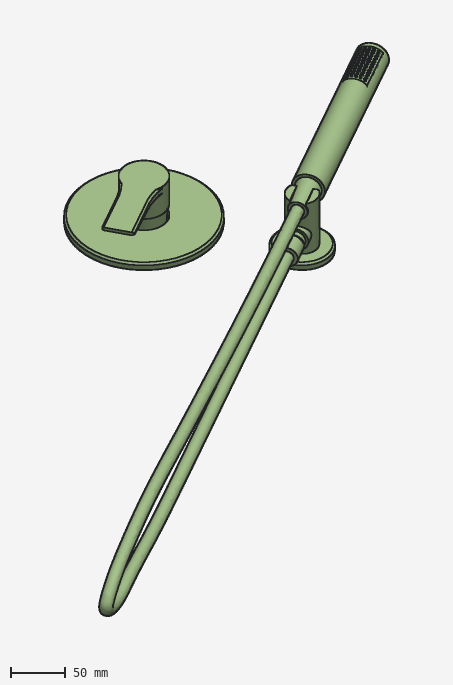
import cadquery as cq
import math


plate_thickness = 8.0
plate_chamfer = 2.15
valve_plate_diameter = 146.0
rosette_diameter = 60.0
holder_x = 150.5

sleeve_diameter = 42.0
sleeve_bottom = -31.0
plate_hole_diameter = 46.0

head_diameter = 46.0
head_radius = head_diameter / 2
lever_top = 52.5
head_bottom_front = 21.0
head_bottom_back = 28.0
head_ramp_start_y = 2.0
arm_tip_y = -84.0
arm_width = 31.0
arm_straight_start_y = -34.0
arm_flare_angle = 20.0
arm_flare_middle = (17.6, -20.0)
arm_root_thickness = 8.0
arm_tip_thickness = 3.5
arm_edge_chamfer = 2.15
arm_corner_radius = 3.5
screw_z = 33.0
screw_recess_diameter = 10.0
screw_recess_depth = 3.0
screw_hole_diameter = 6.2
screw_hole_depth = 9.0

post_diameter = 32.0
post_radius = post_diameter / 2
post_top = 65.0
stub_diameter = 21.0
stub_bottom = -10.0
outlet_z = 27.5
outlet_collar_diameter = 24.0
outlet_collar_end_y = -21.0
outlet_neck_diameter = 19.0
nut_start_y = -27.5
cradle_slot_width = 15.5
cradle_back_y = 9.5

handle_axis_z = 56.3
handle_diameter = 32.0
handle_radius = handle_diameter / 2
handle_end_y = 225.0
handle_start_y = 20.0
cone_end_y = -15.0
cone_large_diameter = 26.0
cone_small_diameter = 19.0

face_width = 23.0
face_length = 51.0
face_end_gap = 5.0
face_depth = 7.0
face_middle_y = handle_end_y - face_end_gap - face_length / 2
nozzle_diameter = 2.3
nozzle_height = 2.0
nozzle_columns = 5
nozzle_rows = 11
nozzle_pitch = 4.0

hose_diameter = 13.0
nut_diameter = 21.0
nut_end_y = -48.0
overall_length = 860.0
hose_tip_y = handle_end_y - overall_length + hose_diameter / 2
hose_crest_z = 76.9
hose_straight_end_y = -395.5
upper_run = [(-200.0, 60.0), (-301.0, 65.0), (-392.0, 71.0)]
upper_bend = [(-575.0, 72.0), (-612.0, 64.0)]
hose_crest_y = -513.0
hose_tip_z = 52.5
lower_bend = [(-612.0, 40.0), (-560.5, 33.5), (-484.0, 29.0)]


def wall_disc(diameter, hole_diameter):
    """Wall plate with a chamfered front rim and a central hole."""
    disc = cq.Workplane("XY").circle(diameter / 2).extrude(plate_thickness)
    disc = disc.faces(">Z").chamfer(plate_chamfer)
    return disc.cut(cq.Workplane("XY").circle(hole_diameter / 2).extrude(plate_thickness))


def rod(diameter, y_start, y_end, z):
    """Cylinder lying along Y, from y_start down to y_end."""
    return (
        cq.Workplane("XZ", origin=(0, y_start, z))
        .circle(diameter / 2)
        .extrude(y_start - y_end)
    )


def at_holder(body):
    return body.translate((holder_x, 0, 0))


def space_below_head():
    """Block whose top is the joint of lever and sleeve: level in front, rising behind."""
    return (
        cq.Workplane("YZ")
        .polyline([
            (-head_diameter, sleeve_bottom),
            (-head_diameter, head_bottom_front),
            (head_ramp_start_y, head_bottom_front),
            (head_radius, head_bottom_back),
            (head_radius, sleeve_bottom),
        ])
        .close()
        .extrude(head_diameter, both=True)
    )


def make_sleeve():
    sleeve = (
        cq.Workplane("XY", origin=(0, 0, sleeve_bottom))
        .circle(sleeve_diameter / 2)
        .extrude(lever_top - sleeve_bottom)
    )
    return sleeve.intersect(space_below_head())


def arm_plan():
    """Arm outline seen along Z, flaring into the head circle."""
    flare_x = head_radius * math.cos(math.radians(arm_flare_angle))
    flare_y = -head_radius * math.sin(math.radians(arm_flare_angle))
    half_width = arm_width / 2
    middle_x, middle_y = arm_flare_middle
    return (
        cq.Workplane("XY")
        .moveTo(-flare_x, flare_y)
        .threePointArc((-middle_x, middle_y), (-half_width, arm_straight_start_y))
        .lineTo(-half_width, arm_tip_y)
        .lineTo(half_width, arm_tip_y)
        .lineTo(half_width, arm_straight_start_y)
        .threePointArc((middle_x, middle_y), (flare_x, flare_y))
        .close()
        .extrude(lever_top)
    )


def arm_side():
    """Arm thickness seen along X, thinning from the head to the tip."""
    return (
        cq.Workplane("YZ")
        .polyline([
            (0, lever_top),
            (arm_tip_y, lever_top),
            (arm_tip_y, lever_top - arm_tip_thickness),
            (-head_radius, lever_top - arm_root_thickness),
            (0, lever_top - arm_root_thickness),
        ])
        .close()
        .extrude(head_diameter, both=True)
    )


def make_lever():
    arm = arm_plan().intersect(arm_side())
    arm = arm.faces(">Z").edges("|Y").chamfer(arm_edge_chamfer)
    arm = arm.edges("|Z and <Y").fillet(arm_corner_radius)
    head = cq.Workplane("XY").circle(head_radius).extrude(lever_top)
    head = head.cut(space_below_head())
    recess = rod(screw_recess_diameter, -head_radius + screw_recess_depth, -head_diameter, screw_z)
    hole = rod(screw_hole_diameter, -head_radius + screw_hole_depth, -head_diameter, screw_z)
    return head.cut(recess).cut(hole).union(arm)


def make_cone():
    return (
        cq.Workplane("XZ", origin=(0, handle_start_y, handle_axis_z))
        .circle(cone_large_diameter / 2)
        .workplane(offset=handle_start_y - cone_end_y)
        .circle(cone_small_diameter / 2)
        .loft()
    )


def make_post():
    post = (
        cq.Workplane("XY", origin=(0, 0, plate_thickness))
        .circle(post_radius)
        .extrude(post_top - plate_thickness)
    )
    stub = (
        cq.Workplane("XY", origin=(0, 0, stub_bottom))
        .circle(stub_diameter / 2)
        .extrude(plate_thickness - stub_bottom)
    )
    back = (
        cq.Workplane("XY", origin=(0, cradle_back_y, handle_axis_z - handle_radius))
        .rect(post_diameter, post_diameter)
        .extrude(post_top)
        .translate((0, post_radius, 0))
    )
    slot = (
        cq.Workplane("XY", origin=(0, 0, handle_axis_z))
        .rect(cradle_slot_width, 2 * post_diameter)
        .extrude(post_top)
    )
    hose_exit = rod(cone_small_diameter, 0, -post_diameter, handle_axis_z)
    post = post.cut(back).cut(slot).cut(make_cone()).cut(hose_exit)
    collar = rod(outlet_collar_diameter, 0, outlet_collar_end_y, outlet_z)
    neck = rod(outlet_neck_diameter, 0, nut_start_y, outlet_z)
    return post.union(stub).union(collar).union(neck)


def make_handle_rod():
    return rod(handle_diameter, handle_end_y, handle_start_y, handle_axis_z)


def face_block():
    """Rectangular space that the spray face fills."""
    return (
        cq.Workplane("XY", origin=(0, face_middle_y, handle_axis_z + handle_radius - face_depth))
        .rect(face_width, face_length)
        .extrude(2 * face_depth)
    )


def make_spray_face():
    face = make_handle_rod().intersect(face_block())
    for column in range(nozzle_columns):
        x = (column - (nozzle_columns - 1) / 2) * nozzle_pitch
        surface_z = handle_axis_z + math.sqrt(handle_radius**2 - x**2)
        nozzles = (
            cq.Workplane("XY", origin=(x, face_middle_y, surface_z + nozzle_height))
            .rarray(nozzle_pitch, nozzle_pitch, 1, nozzle_rows)
            .circle(nozzle_diameter / 2)
            .extrude(-2 * nozzle_height)
        )
        face = face.union(nozzles)
    return face


def make_hose():
    """Hose hanging in a long loop from the cone back to the outlet nut."""
    loop = [
        (cone_end_y, handle_axis_z),
        *upper_run,
        (hose_crest_y, hose_crest_z),
        *upper_bend,
        (hose_tip_y, hose_tip_z),
        *lower_bend,
        (hose_straight_end_y, outlet_z),
    ]
    path = (
        cq.Workplane("YZ")
        .spline(loop, tangents=[(-1, 0), (1, 0)])
        .lineTo(nut_end_y, outlet_z)
    )
    return (
        cq.Workplane("XZ", origin=(0, cone_end_y, handle_axis_z))
        .circle(hose_diameter / 2)
        .sweep(path)
    )


valve_plate = wall_disc(valve_plate_diameter, plate_hole_diameter)
sleeve = make_sleeve()
lever = make_lever()
rosette = at_holder(wall_disc(rosette_diameter, stub_diameter))
post = at_holder(make_post())
handle = at_holder(make_handle_rod().cut(face_block()))
spray_face = at_holder(make_spray_face())
cone = at_holder(make_cone())
hose = at_holder(make_hose())
hose_nut = at_holder(rod(nut_diameter, nut_start_y, nut_end_y, outlet_z))

result = cq.Compound.makeCompound([
    valve_plate.val(),
    sleeve.val(),
    lever.val(),
    rosette.val(),
    post.val(),
    handle.val(),
    spray_face.val(),
    cone.val(),
    hose.val(),
    hose_nut.val(),
])